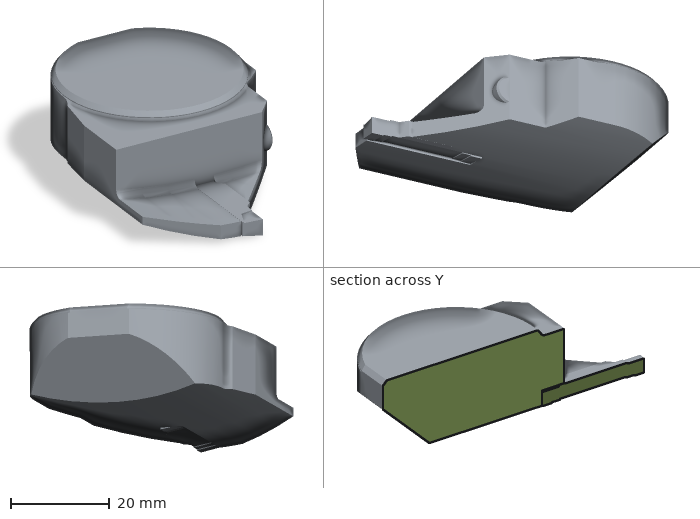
import cadquery as cq
import math


disc_radius = 20.05
flat_x = -19.0
total_height = 17.95
cap_chamfer = 1.0
cap_edge_radius = 19.95
flare_radius = 20.5
flare_height = 0.45

block_top = 16.3
block_front_y = -22.75
block_back_y = 14.95
back_step_x = 8.4
block_back_start_x = 13.3
block_back_end_x = 21.5
block_front_start_x = 12.7
front_shoulder = (3.1, -21.1)
front_shoulder_middle = (1.65, -20.3)
wall_x = 25.5
slope_start_z = 11.5
underside_radius = 68.7

blade_end_x = 44.1
back_taper_end_x = 38.4
blade_corner_y = -9.1
blade_corner_x = 36.1
blade_saddle_z = 3.4
blade_saddle_radius = 115.4
blade_fillet = 1.55

boss_radius = 3.0
boss_x = 21.2
boss_z = 8.35
boss_end_y = 14.9
boss_length = 5.1
boss_chamfer = 0.4

insert_middle_x = 32.55
insert_half_length = 12.55
insert_back_y = 0.1
insert_front_y = -4.35
insert_bulge_y = 1.55
insert_top = 3.5
insert_tip_z = -0.4
end_relief = 0.4
bulge_half_length = 4.95
bulge_bevel = insert_bulge_y - insert_back_y
underside_rise = 0.8
tip_length = 2.55
heel_length = 4.5
underside_step = 0.2
chip_depth = 0.25
chip_start_x = 8.3
chip_bend_x = 8.6
chip_bend_y = -2.55
chip_end_y = -4.2

margin = 6.4
body_length = insert_middle_x + insert_half_length - flat_x


def body_outline():
    """Plan of the whole holder: flatted disc, block and tapering blade."""
    flat_half_width = math.sqrt(disc_radius**2 - flat_x**2)
    arc_middle = disc_radius * math.sqrt(0.5)
    return (
        cq.Workplane("XY")
        .moveTo(flat_x, flat_half_width)
        .threePointArc((-arc_middle, arc_middle), (0, disc_radius))
        .lineTo(back_step_x, disc_radius)
        .lineTo(block_back_start_x, block_back_y)
        .lineTo(block_back_end_x, block_back_y)
        .lineTo(back_taper_end_x, insert_back_y)
        .lineTo(blade_end_x, insert_back_y)
        .lineTo(blade_end_x, blade_corner_y)
        .lineTo(blade_corner_x, block_front_y)
        .lineTo(block_front_start_x, block_front_y)
        .lineTo(*front_shoulder)
        .threePointArc(front_shoulder_middle, (0, -disc_radius))
        .threePointArc((-arc_middle, -arc_middle), (flat_x, -flat_half_width))
        .close()
    )


def lengthwise_cylinder(radius, lowest_z):
    """Cylinder along X whose lowest line runs at the given height."""
    return (
        cq.Workplane("YZ", origin=(flat_x - margin, 0, 0))
        .center(0, lowest_z + radius)
        .circle(radius)
        .extrude(body_length + 2 * margin)
    )


def make_cap():
    """Chamfered disc top with a small flare down to the block."""
    cap_edge_z = total_height - cap_chamfer
    flare_top_z = block_top + flare_height
    cap = (
        cq.Workplane("XZ")
        .moveTo(0, block_top)
        .lineTo(flare_radius, block_top)
        .lineTo(cap_edge_radius, flare_top_z)
        .lineTo(cap_edge_radius, cap_edge_z)
        .lineTo(disc_radius - cap_chamfer, total_height)
        .lineTo(0, total_height)
        .close()
        .revolve(360, (0, 0), (0, 1))
    )
    flat_chamfer = (
        cq.Workplane("XZ")
        .moveTo(flat_x, cap_edge_z)
        .lineTo(flat_x + cap_chamfer, total_height)
        .lineTo(flat_x, total_height)
        .close()
        .extrude(disc_radius, both=True)
    )
    return cap.intersect(body_outline().extrude(total_height)).cut(flat_chamfer)


def space_above_blade():
    """Clearance beyond the block wall, rounded into the saddle-shaped blade top."""
    above = (
        cq.Workplane("XY")
        .box(body_length, 4 * disc_radius, 2 * total_height, centered=(False, True, False))
        .translate((wall_x, 0, 0))
    )
    above = above.intersect(lengthwise_cylinder(blade_saddle_radius, blade_saddle_z))
    return above.faces("<X").edges("<Z").fillet(blade_fillet)


def sloped_underside():
    """45 degree wedge removed below the flat of the disc."""
    return (
        cq.Workplane("XZ")
        .moveTo(flat_x, slope_start_z)
        .lineTo(flat_x + slope_start_z, 0)
        .lineTo(flat_x, 0)
        .close()
        .extrude(2 * disc_radius, both=True)
    )


def make_boss():
    """Chamfered screw end at the back of the block."""
    return (
        cq.Workplane("XZ", origin=(boss_x, boss_end_y, boss_z))
        .circle(boss_radius)
        .extrude(boss_length)
        .faces(">Y")
        .chamfer(boss_chamfer)
    )


def insert_plan():
    """Plan of the insert, with a bevelled bulge along its back."""
    half_profile = [
        (bulge_half_length, insert_bulge_y),
        (bulge_half_length + bulge_bevel, insert_back_y),
        (insert_half_length, insert_back_y),
        (insert_half_length - end_relief, insert_front_y),
    ]
    mirrored = [(-x, y) for x, y in reversed(half_profile)]
    return (
        cq.Workplane("XY", origin=(insert_middle_x, 0, insert_tip_z))
        .polyline(half_profile + mirrored)
        .close()
    )


def insert_underside():
    """Tilted space below the insert, stepped down towards both tips."""
    def tilted_slab(half_length, lift):
        return (
            cq.Workplane("YZ", origin=(insert_middle_x - half_length, 0, 0))
            .moveTo(insert_back_y, insert_tip_z + lift)
            .lineTo(insert_front_y, insert_tip_z + underside_rise + lift)
            .lineTo(insert_front_y, insert_tip_z - margin)
            .lineTo(insert_bulge_y, insert_tip_z - margin)
            .lineTo(insert_bulge_y, insert_tip_z + lift)
            .close()
            .extrude(2 * half_length)
        )

    tips = tilted_slab(insert_half_length, 0)
    heels = tilted_slab(insert_half_length - tip_length, underside_step)
    middle = tilted_slab(insert_half_length - heel_length, 2 * underside_step)
    return tips.union(heels).union(middle)


def chip_pocket(side):
    """Shallow rake pocket open to one end face; side is +1 or -1 along X."""
    corners = [
        (chip_start_x, insert_back_y),
        (chip_bend_x, chip_bend_y),
        (insert_half_length, chip_end_y),
        (insert_half_length, insert_back_y),
    ]
    return (
        cq.Workplane("XY", origin=(insert_middle_x, 0, insert_top - chip_depth))
        .polyline([(side * x, y) for x, y in corners])
        .close()
        .extrude(chip_depth)
    )


def make_insert():
    insert = insert_plan().extrude(insert_top - insert_tip_z).cut(insert_underside())
    for side in (-1, 1):
        insert = insert.cut(chip_pocket(side))
    return insert


def insert_slot():
    """Seat of the insert, open below, and open above beyond the block wall."""
    seat = insert_plan().extrude(insert_top - insert_tip_z)
    opening = (
        cq.Workplane("XY")
        .box(body_length, 2 * margin, block_top, centered=(False, True, False))
        .translate((wall_x, 0, 0))
    )
    return seat.union(insert_plan().extrude(block_top).intersect(opening))


def make_holder():
    holder = body_outline().extrude(block_top)
    holder = holder.cut(space_above_blade())
    holder = holder.union(make_cap())
    holder = holder.union(make_boss())
    holder = holder.intersect(lengthwise_cylinder(underside_radius, 0))
    return holder.cut(sloped_underside()).cut(insert_slot())


holder = make_holder()
insert = make_insert()
result = cq.Compound.makeCompound([holder.val(), insert.val()])